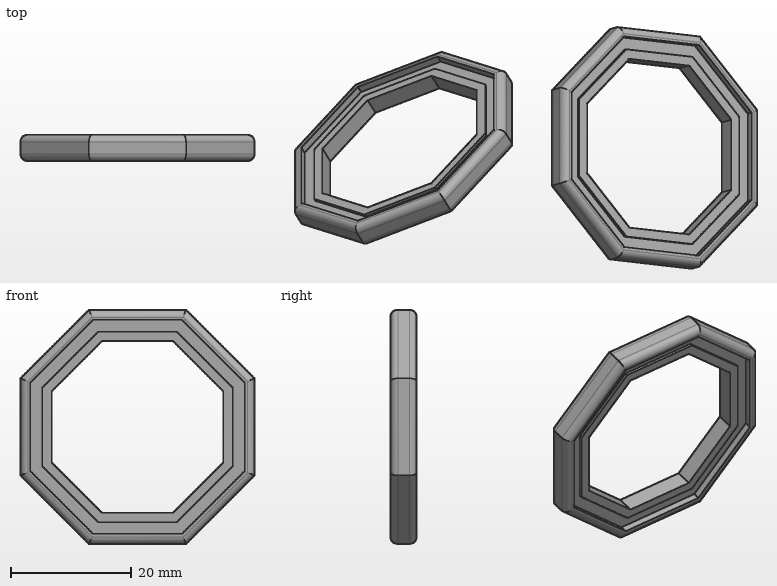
import cadquery as cq
import math

outer_width = 39.0
thickness = 4.4
edge_radius = 1.2
rim_inset = 1.68
land_inset = 3.65
bore_inset = 5.22
groove_depth = 1.2
land_recess = 0.7

SIDES = 8
front_y = -thickness / 2


def octagon_prism(inset, start_y, length):
    """Octagonal prism inset from the outer sides, running towards +Y."""
    across_flats = outer_width - 2 * inset
    across_corners = across_flats / math.cos(math.pi / SIDES)
    return (
        cq.Workplane("XZ", origin=(0, start_y, 0))
        .transformed(rotate=(0, 0, 180 / SIDES))
        .polygon(SIDES, across_corners)
        .extrude(-length)
    )


body = octagon_prism(0, front_y, thickness)
body = body.faces("<Y or >Y").edges().fillet(edge_radius)

bore = octagon_prism(bore_inset, front_y, thickness)

land_step = octagon_prism(rim_inset, front_y, land_recess)
groove = octagon_prism(rim_inset, front_y, groove_depth).cut(
    octagon_prism(land_inset, front_y, groove_depth)
)
front_recess = land_step.union(groove)

back_recess = front_recess.mirror("XZ")

result = body.cut(bore).cut(front_recess).cut(back_recess)